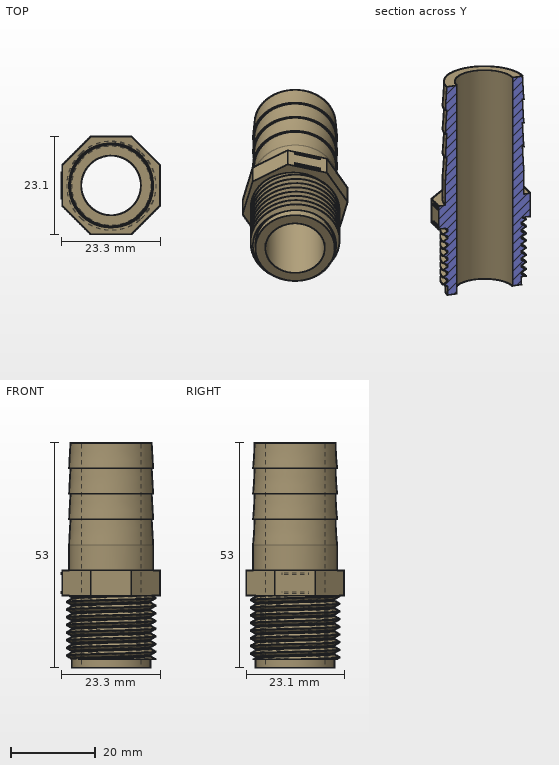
import cadquery as cq
import math


total_length = 53.0
plain_end_length = 2.0
octagon_bottom = 17.0
octagon_height = 6.0
octagon_top = octagon_bottom + octagon_height
barb_count = 4
section_pitch = (total_length - octagon_top) / (barb_count + 1)
collar_top = octagon_top + section_pitch

bore_diameter = 14.0
core_diameter = 18.65
thread_diameter = 21.0
barb_large_diameter = 19.9
barb_small_diameter = 19.2
octagon_width = 23.1
octagon_sides = 8

thread_length = octagon_bottom - plain_end_length
thread_turns = 8.3
thread_pitch = thread_length / thread_turns
thread_half_angle = math.radians(30)
crest_width = 0.1
ridge_overlap = 0.25

rail_length = 6.2
rail_width = 0.35
rail_height = 0.24
rail_spacing = 4.55


def make_core():
    """Plain cylinder that carries the thread and runs up into the octagon."""
    return cq.Workplane("XY").circle(core_diameter / 2).extrude(octagon_top)


def make_thread_ridge():
    """Right-hand helical ridge, trimmed flat at both ends of the threaded length."""
    crest_radius = thread_diameter / 2
    root_radius = core_diameter / 2 - ridge_overlap
    crest_half = crest_width / 2
    root_half = crest_half + (crest_radius - root_radius) * math.tan(thread_half_angle)

    helix_bottom = plain_end_length - thread_pitch
    helix_height = thread_length + 2 * thread_pitch
    helix = cq.Wire.makeHelix(thread_pitch, helix_height, root_radius)
    ridge = (
        cq.Workplane("XZ")
        .polyline([
            (root_radius, -root_half),
            (crest_radius, -crest_half),
            (crest_radius, crest_half),
            (root_radius, root_half),
        ])
        .close()
        .sweep(cq.Workplane(helix), isFrenet=True)
        .translate((0, 0, helix_bottom))
    )
    trim = (
        cq.Workplane("XY")
        .workplane(offset=plain_end_length)
        .circle(thread_diameter)
        .extrude(thread_length)
    )
    return ridge.intersect(trim)


def make_octagon():
    """Wrench collar with flats facing X and Y."""
    corner_diameter = octagon_width / math.cos(math.pi / octagon_sides)
    return (
        cq.Workplane("XY")
        .workplane(offset=octagon_bottom)
        .transformed(rotate=(0, 0, 180 / octagon_sides))
        .polygon(octagon_sides, corner_diameter)
        .extrude(octagon_height)
    )


def make_barb_stem():
    """Plain collar followed by barbs that each taper towards the open end."""
    large_radius = barb_large_diameter / 2
    small_radius = barb_small_diameter / 2
    profile = cq.Workplane("XZ").moveTo(0, octagon_top).lineTo(large_radius, octagon_top)
    for index in range(barb_count):
        barb_bottom = collar_top + index * section_pitch
        profile = profile.lineTo(large_radius, barb_bottom)
        profile = profile.lineTo(small_radius, barb_bottom + section_pitch)
    return profile.lineTo(0, total_length).close().revolve(360, (0, 0, 0), (0, 1, 0))


def make_rails():
    """Two raised horizontal rails near the edges of the -X flat."""
    return (
        cq.Workplane("YZ", origin=(-octagon_width / 2, 0, octagon_bottom + octagon_height / 2))
        .pushPoints([(0, -rail_spacing / 2), (0, rail_spacing / 2)])
        .rect(rail_length, rail_width)
        .extrude(-rail_height)
    )


bore = cq.Workplane("XY").circle(bore_diameter / 2).extrude(total_length)

result = (
    make_core()
    .union(make_thread_ridge())
    .union(make_octagon())
    .union(make_barb_stem())
    .union(make_rails())
    .cut(bore)
)